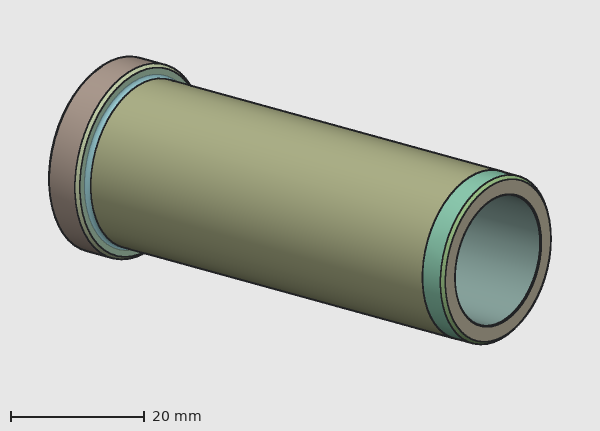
import cadquery as cq

length = 75.0
flange_diameter = 30.0
flange_thickness = 6.0
body_diameter = 26.0
tip_diameter = 25.95
tip_length = 4.0
bore_diameter = 20.0
edge_chamfer = 0.5
bore_chamfer = 0.15

groove_width = 0.9
groove_depth = 0.45

flange_radius = flange_diameter / 2
body_radius = body_diameter / 2
tip_radius = tip_diameter / 2
groove_radius = body_radius - groove_depth
bore_radius = bore_diameter / 2
groove_end = flange_thickness + groove_width
tip_start = length - tip_length


def make_outer_body():
    """Revolve the stepped outer profile (X along the axis, Y as radius)."""
    profile = (
        cq.Workplane("XY")
        .moveTo(0, 0)
        .lineTo(0, flange_radius - edge_chamfer)
        .lineTo(edge_chamfer, flange_radius)
        .lineTo(flange_thickness - edge_chamfer, flange_radius)
        .lineTo(flange_thickness, flange_radius - edge_chamfer)
        .lineTo(flange_thickness, groove_radius + groove_width)
        .radiusArc((groove_end, groove_radius), -groove_width)
        .lineTo(groove_end, body_radius)
        .lineTo(tip_start, body_radius)
        .lineTo(tip_start, tip_radius)
        .lineTo(length - edge_chamfer, tip_radius)
        .lineTo(length, tip_radius - edge_chamfer)
        .lineTo(length, 0)
        .close()
    )
    return profile.revolve(360, (0, 0, 0), (1, 0, 0))


def make_bore():
    """Through bore, flared at both ends to chamfer its rims."""
    mouth_radius = bore_radius + bore_chamfer
    profile = (
        cq.Workplane("XY")
        .moveTo(0, 0)
        .lineTo(0, mouth_radius)
        .lineTo(bore_chamfer, bore_radius)
        .lineTo(length - bore_chamfer, bore_radius)
        .lineTo(length, mouth_radius)
        .lineTo(length, 0)
        .close()
    )
    return profile.revolve(360, (0, 0, 0), (1, 0, 0))


result = make_outer_body().cut(make_bore())